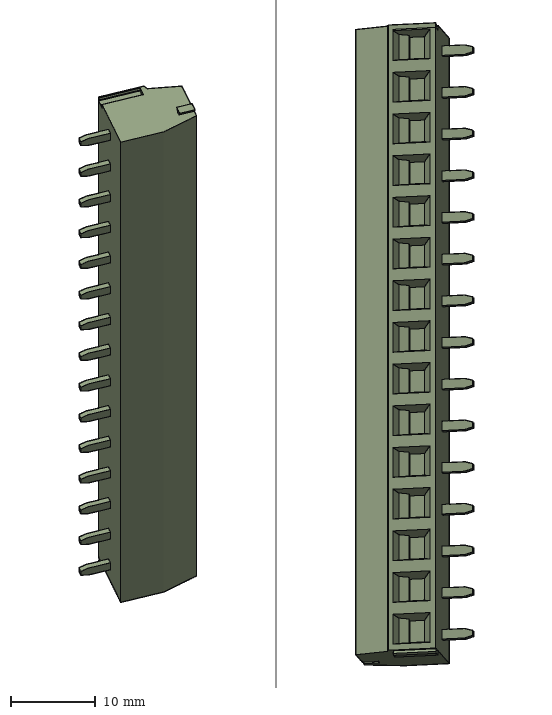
import cadquery as cq

POLES = 15
TOTAL_HEIGHT = 77.2

BOTTOM_RIB_HEIGHT = 0.58
TOP_RIB_HEIGHT = 0.5
BODY_HEIGHT = TOTAL_HEIGHT - BOTTOM_RIB_HEIGHT - TOP_RIB_HEIGHT
PITCH = BODY_HEIGHT / POLES

BODY_WIDTH = 8.1
BODY_DEPTH = 9.95
CREST_LEFT = 1.5
CREST_RIGHT = 6.8
RIGHT_SHOULDER_Y = 5.4
LEFT_SHOULDER_Y = 5.7
LEDGE_WIDTH = 0.55
LEDGE_RISE = 0.2

PIN_LENGTH = 3.7
PIN_X = 4.0
PIN_THICKNESS = 0.7
PIN_HEIGHT = 1.15
PIN_TIP_HEIGHT = 0.6
PIN_TIP_LENGTH = 0.9

ENTRY_Y_MIN = 0.7
ENTRY_Y_MAX = 5.2
ENTRY_HEIGHT = 3.6
FLOOR_DEPTH = 1.7
FLOOR_Y_MIN = 1.7
FLOOR_Y_MAX = 4.2
FLOOR_HEIGHT = 2.6
CLAMP_Y = 3.5
CLAMP_LOW_DEPTH = 1.2
CLAMP_HIGH_DEPTH = 0.8

LONG_X = 0.8
LONG_LENGTH = 5.2
SHORT_X = 5.7
SHORT_LENGTH = 1.9
SHORT_Y = BODY_DEPTH - SHORT_LENGTH
GROOVE_DEPTH = 0.55

LONG_RIB_PROFILE = [(0.8, 0), (1.3, 0.4), (0.9, BOTTOM_RIB_HEIGHT)]
SHORT_RIB_PROFILE = [(0.55, 0), (1.1, TOP_RIB_HEIGHT)]
LONG_GROOVE_PROFILE = [(1.15, 0), (0.85, 0.15), (1.3, GROOVE_DEPTH)]
SHORT_GROOVE_PROFILE = [(0.7, 0), (1.2, GROOVE_DEPTH)]


def make_housing():
    outline = [
        (0, 0),
        (BODY_WIDTH, 0),
        (BODY_WIDTH, RIGHT_SHOULDER_Y),
        (CREST_RIGHT, BODY_DEPTH),
        (CREST_LEFT, BODY_DEPTH),
        (LEDGE_WIDTH, LEFT_SHOULDER_Y + LEDGE_RISE),
        (0, LEFT_SHOULDER_Y),
    ]
    return cq.Workplane("XY").polyline(outline).close().extrude(BODY_HEIGHT)


def make_pin(z):
    """Flat pin starting on the -Y face, its end narrowed in Z."""
    half = PIN_HEIGHT / 2
    half_tip = PIN_TIP_HEIGHT / 2
    taper_y = PIN_TIP_LENGTH - PIN_LENGTH
    side = [
        (0, z - half),
        (0, z + half),
        (taper_y, z + half),
        (-PIN_LENGTH, z + half_tip),
        (-PIN_LENGTH, z - half_tip),
        (taper_y, z - half),
    ]
    return (
        cq.Workplane("YZ", origin=(PIN_X - PIN_THICKNESS / 2, 0, 0))
        .polyline(side)
        .close()
        .extrude(PIN_THICKNESS)
    )


def make_wire_entry(z):
    """Cutter for one wire entry."""
    entry_y = (ENTRY_Y_MIN + ENTRY_Y_MAX) / 2
    floor_y = (FLOOR_Y_MIN + FLOOR_Y_MAX) / 2
    funnel = (
        cq.Workplane("YZ", origin=(0, entry_y, z))
        .rect(ENTRY_Y_MAX - ENTRY_Y_MIN, ENTRY_HEIGHT)
        .workplane(offset=FLOOR_DEPTH)
        .center(floor_y - entry_y, 0)
        .rect(FLOOR_Y_MAX - FLOOR_Y_MIN, FLOOR_HEIGHT)
        .loft(ruled=True)
    )
    clamp_outline = [
        (CLAMP_LOW_DEPTH, CLAMP_Y),
        (FLOOR_DEPTH, CLAMP_Y),
        (FLOOR_DEPTH, ENTRY_Y_MAX),
        (CLAMP_HIGH_DEPTH, ENTRY_Y_MAX),
    ]
    clamp = (
        cq.Workplane("XY", origin=(0, 0, z - ENTRY_HEIGHT / 2))
        .polyline(clamp_outline)
        .close()
        .extrude(ENTRY_HEIGHT)
    )
    return funnel.cut(clamp)


def make_dovetail(profile, x, y, length, z, direction):
    """Dovetail bar from y to y + length, leaving the end face at z up (1) or down (-1)."""
    left = [(x - width / 2, z + direction * distance) for width, distance in profile]
    right = [(x + width / 2, z + direction * distance) for width, distance in reversed(profile)]
    return (
        cq.Workplane("XZ", origin=(0, y, 0))
        .polyline(left + right)
        .close()
        .extrude(-length)
    )


result = make_housing()

for pole in range(POLES):
    pole_z = (pole + 0.5) * PITCH
    result = result.cut(make_wire_entry(pole_z)).union(make_pin(pole_z))

result = (
    result.cut(make_dovetail(LONG_GROOVE_PROFILE, LONG_X, 0, LONG_LENGTH, BODY_HEIGHT, -1))
    .cut(make_dovetail(SHORT_GROOVE_PROFILE, SHORT_X, SHORT_Y, SHORT_LENGTH, 0, 1))
    .union(make_dovetail(LONG_RIB_PROFILE, LONG_X, 0, LONG_LENGTH, 0, -1))
    .union(make_dovetail(SHORT_RIB_PROFILE, SHORT_X, SHORT_Y, SHORT_LENGTH, BODY_HEIGHT, 1))
)